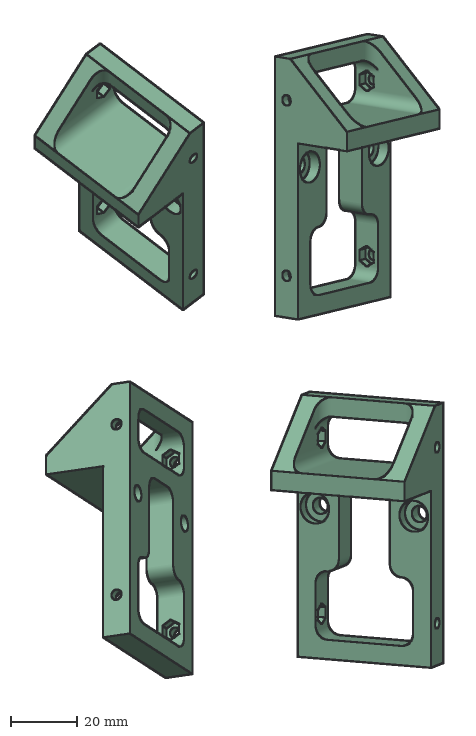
import cadquery as cq

width = 44.45
depth = 28
height = 80.1
plate_thickness = 9.0
wall = 6.0
corner_radius = 4
shoulder_radius = 3.85

shelf_top = 60.4
shelf_bottom = shelf_top - wall

opening_width = width - 2 * wall
neck_width = 17.0
lower_opening_top = 27.1

mount_hole_diameter = 5.0
mount_bore_diameter = 9.5
mount_bore_depth = 4
mount_spacing = 33.0
mount_height = 46.2

cross_hole_diameter = 3.2
cross_hole_inset = 13.0
nut_across_flats = 5.5
nut_pocket_depth = 3.0


def box(x_size, y_min, y_max, z_min, z_max):
    """Box centred on X = 0 between the given Y and Z limits."""
    return (
        cq.Workplane("XY")
        .box(x_size, y_max - y_min, z_max - z_min, centered=(True, False, False))
        .translate((0, y_min, z_min))
    )


def make_body():
    """Upright plate with a shelf and a sloping front, extruded across the width."""
    profile = [
        (0, 0),
        (-plate_thickness, 0),
        (-plate_thickness, shelf_bottom),
        (-depth, shelf_bottom),
        (-depth, shelf_top),
        (-wall, height),
        (0, height),
    ]
    return cq.Workplane("YZ").polyline(profile).close().extrude(width / 2, both=True)


def make_upper_opening():
    """Window through the plate, joined to the space between the cheeks."""
    window = box(opening_width, -depth, 0, shelf_top, height - wall).edges("|Y").fillet(corner_radius)
    rear_rounded = box(opening_width, -depth, -wall, shelf_top, height).edges("|Z and >Y").fillet(corner_radius)
    floor_rounded = box(opening_width, -depth, -wall, shelf_top, height).edges("|Y and <Z").fillet(corner_radius)
    return window.union(rear_rounded.intersect(floor_rounded))


def make_lower_opening():
    """Wide opening with a narrower neck reaching up to the shelf."""
    wide = box(opening_width, -plate_thickness, 0, wall, lower_opening_top)
    neck = box(neck_width, -plate_thickness, 0, wall, shelf_bottom)
    opening = wide.union(neck).clean()
    opening = opening.edges("|Y exc (<Z or >Z)").fillet(shoulder_radius)
    return opening.edges("(<Z or >Z) and |Y").fillet(corner_radius)


def cut_mount_holes(body):
    """Counterbored holes entering from the front of the plate."""
    front = cq.Workplane("XZ", origin=(0, -plate_thickness, mount_height))
    centres = [(-mount_spacing / 2, 0), (mount_spacing / 2, 0)]
    holes = front.pushPoints(centres).circle(mount_hole_diameter / 2).extrude(-plate_thickness)
    bores = front.pushPoints(centres).circle(mount_bore_diameter / 2).extrude(-mount_bore_depth)
    return body.cut(holes).cut(bores)


def make_cross_hole(z):
    """Hole along X with a nut pocket sunk into each side wall."""
    axis = cq.Workplane("YZ", origin=(0, -plate_thickness / 2, z))
    hole = axis.circle(cross_hole_diameter / 2).extrude(width / 2, both=True)
    nut = axis.polygon(6, nut_across_flats, circumscribed=True)
    nuts = nut.extrude(opening_width / 2 + nut_pocket_depth, both=True)
    return hole.union(nuts)


body = make_body().cut(make_upper_opening()).cut(make_lower_opening())
body = cut_mount_holes(body)
for hole_height in (cross_hole_inset, height - cross_hole_inset):
    body = body.cut(make_cross_hole(hole_height))

result = body